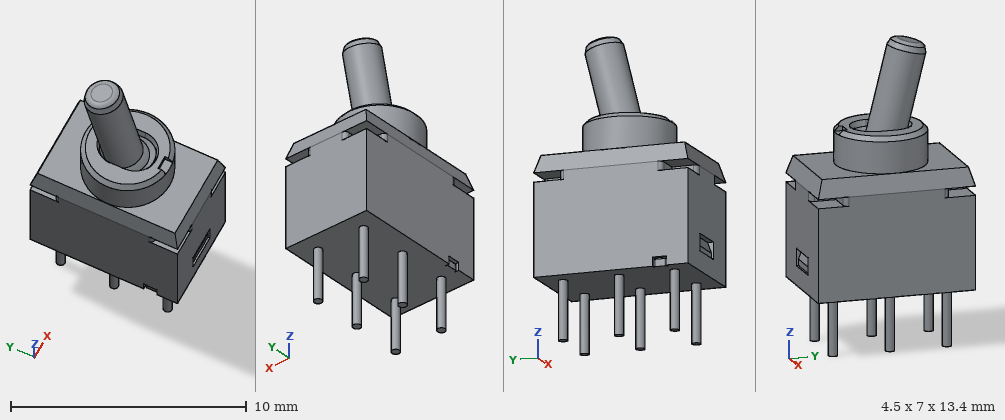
import cadquery as cq
import math

total_height = 13.37
body_bottom = 2.62
body_top = 7.19
bezel_top = 8.0
bushing_top = 9.6

body_width = 4.5
body_length = 7.0
bezel_inset = 0.24

pin_diameter = 0.4
pin_pitch = 2.54
pin_columns = 2
pin_rows = 3
pin_embed = 0.13

relief_height = 0.4
relief_size = 1.16
relief_round = 0.2

window_width = 1.58
window_bottom = 3.49
window_ridge = 3.77
window_top = 4.25
window_ridge_depth = 0.1
window_top_depth = 0.27

notch_center_y = -2.2
notch_width = 0.63
notch_height = 0.4
notch_depth = 0.27
catch_setback = 0.11
catch_bevel = 0.08
catch_corner_radius = 0.11

bushing_diameter = 4.0
bushing_bevel = 0.2
key_width = 0.63
key_inner_y = 1.6
slot_width = 1.98
slot_length = 2.69
slot_depth = 0.27
slot_taper = 20.0
bowl_diameter = 2.9
bowl_rim_radius = 1.22

lever_diameter = 1.7
lever_tilt = 14.0
pivot_height = 8.29
ball_diameter = 2.34
tip_flat_radius = 0.47
tip_shoulder_radius = 0.75
tip_shoulder_drop = 0.12
tip_cone_drop = 0.37
crown_reach = tip_shoulder_radius - tip_flat_radius
crown_radius = (crown_reach**2 + tip_shoulder_drop**2) / (2 * tip_shoulder_drop)
tilt_angle = math.radians(lever_tilt)
crown_center_height = total_height - crown_radius - tip_flat_radius * math.sin(tilt_angle)
lever_length = (crown_center_height - pivot_height) / math.cos(tilt_angle) + crown_radius


def block(width, length, bottom, top):
    """Upright block centred on the Z axis."""
    return cq.Workplane("XY").workplane(offset=bottom).rect(width, length).extrude(top - bottom)


def corner_reliefs():
    """Square cuts in the four upper corners, flared by a round where they leave the body faces."""
    bottom = body_top - relief_height
    long_rib = block(body_width - 2 * relief_size, body_length, bottom, body_top)
    wide_rib = block(body_width, body_length - 2 * relief_size, bottom, body_top)
    ribs = long_rib.edges("|Z").fillet(relief_round).union(wide_rib.edges("|Z").fillet(relief_round))
    return block(body_width, body_length, bottom, body_top).cut(ribs)


def latch_window():
    """Window in the -Y face whose back slopes deeper towards the top."""
    face_y = -body_length / 2
    return (
        cq.Workplane("YZ")
        .moveTo(face_y, window_bottom)
        .lineTo(face_y + window_ridge_depth, window_bottom)
        .lineTo(face_y + window_ridge_depth, window_ridge)
        .lineTo(face_y + window_top_depth, window_top)
        .lineTo(face_y, window_top)
        .close()
        .extrude(window_width / 2, both=True)
    )


def edge_notch():
    """Notch in the lower edge of the -X face, around a rounded and bevelled catch block."""
    face_x = -body_width / 2
    notch = cq.Workplane("XY").box(notch_depth, notch_width, notch_height, centered=(False, True, False))
    catch = (
        cq.Workplane("XY")
        .box(notch_depth, notch_width, notch_height, centered=(False, True, False))
        .edges("|Z and <X")
        .fillet(catch_corner_radius)
        .faces(">Z")
        .chamfer(catch_bevel)
        .translate((catch_setback, 0, 0))
    )
    return notch.cut(catch).translate((face_x, notch_center_y, body_bottom))


def tapered_bezel():
    return (
        cq.Workplane("XY")
        .workplane(offset=body_top)
        .rect(body_width, body_length)
        .workplane(offset=bezel_top - body_top)
        .rect(body_width - 2 * bezel_inset, body_length - 2 * bezel_inset)
        .loft(ruled=True)
    )


def keyed_bushing():
    """Round bushing with a bevelled rim and a key notch on its -Y side."""
    bushing = (
        cq.Workplane("XY")
        .workplane(offset=bezel_top)
        .circle(bushing_diameter / 2)
        .extrude(bushing_top - bezel_top)
        .faces(">Z")
        .chamfer(bushing_bevel)
    )
    key_length = bushing_diameter / 2 - key_inner_y
    key = cq.Workplane("XY").box(key_width, key_length, bushing_bevel)
    return bushing.cut(key.translate((0, -key_inner_y - key_length / 2, bushing_top - bushing_bevel / 2)))


def lever_opening():
    """Tapered slot over a spherical bowl in which the ball of the lever sits."""
    slot = (
        cq.Workplane("XY")
        .workplane(offset=bushing_top)
        .slot2D(slot_length, slot_width, 90)
        .extrude(-slot_depth, taper=slot_taper)
    )
    bowl_rim_height = bushing_top - slot_depth
    bowl_radius = bowl_diameter / 2
    bowl_center_height = bowl_rim_height + math.sqrt(bowl_radius**2 - bowl_rim_radius**2)
    bowl = (
        cq.Workplane("XY")
        .sphere(bowl_radius)
        .translate((0, 0, bowl_center_height))
        .intersect(block(bowl_diameter, bowl_diameter, body_top, bowl_rim_height))
    )
    return slot.union(bowl)


def housing():
    body = block(body_width, body_length, body_bottom, body_top)
    body = body.cut(corner_reliefs()).cut(latch_window()).cut(edge_notch())
    return body.union(tapered_bezel()).union(keyed_bushing()).cut(lever_opening())


def lever():
    """Round handle with a crowned tip and a ball at its pivot, leaning towards +Y."""
    shaft = (
        cq.Workplane("XZ")
        .lineTo(lever_diameter / 2, 0)
        .lineTo(lever_diameter / 2, lever_length - tip_cone_drop)
        .lineTo(tip_shoulder_radius, lever_length - tip_shoulder_drop)
        .radiusArc((tip_flat_radius, lever_length), -crown_radius)
        .lineTo(0, lever_length)
        .close()
        .revolve(360, (0, 0, 0), (0, 1, 0))
    )
    shaft = shaft.union(cq.Workplane("XY").sphere(ball_diameter / 2))
    shaft = shaft.rotate((0, 0, 0), (1, 0, 0), -lever_tilt)
    return shaft.translate((0, 0, pivot_height))


def pins():
    return (
        cq.Workplane("XY")
        .rarray(pin_pitch, pin_pitch, pin_columns, pin_rows)
        .circle(pin_diameter / 2)
        .extrude(body_bottom + pin_embed)
    )


result = housing().union(lever()).union(pins())